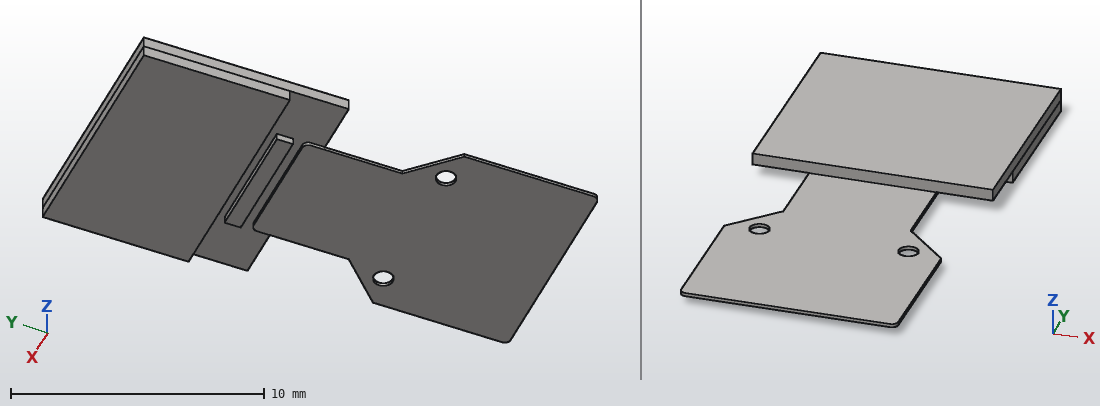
import cadquery as cq

total_length = 19.85
glass_width = 9.96

cover_length = 8.83
cover_thickness = 0.5
substrate_length = 6.3
substrate_thickness = 0.5
cover_bottom = substrate_thickness

chip_width = 5.15
chip_length = 0.7
chip_thickness = 0.3
chip_gap = 0.5

flex_thickness = 0.149
flex_bottom = cover_bottom - flex_thickness
corner_radius = 0.25
strip_width = 5.28
strip_length = 11.9
tail_width = 9.0
shoulder_width = 5.08
shoulder_end = 7.78
shoulder_start = shoulder_end - (tail_width - shoulder_width) / 2
overlay_start = 5.45
stiffener_end = 6.0
stiffener_half_width = shoulder_width / 2 + shoulder_end - stiffener_end

hole_diameter = 0.81
hole_spacing = 6.17

pad_count = 14
pad_width = tail_width / (2 * pad_count + 1)
pad_pitch = 2 * pad_width
pad_length = 1.79
pad_thickness = 0.02
pad_bottom = cover_bottom - pad_thickness


def block(width, length, thickness, front, bottom):
    """Plain block centred on X = 0, starting at the given front Y and bottom Z."""
    body = cq.Workplane("XY").box(width, length, thickness, centered=(True, False, False))
    return body.translate((0, front, bottom))


def flex_layer(points):
    """Full-thickness area of the flex cable with the given outline."""
    return cq.Workplane("XY").workplane(offset=flex_bottom).polyline(points).close().extrude(flex_thickness)


def make_cover_glass():
    return block(glass_width, cover_length, cover_thickness, total_length - cover_length, cover_bottom)


def make_substrate_glass():
    return block(glass_width, substrate_length, substrate_thickness, total_length - substrate_length, 0)


def make_driver_chip():
    front = total_length - substrate_length - chip_gap - chip_length
    return block(chip_width, chip_length, chip_thickness, front, cover_bottom - chip_thickness)


def make_strip():
    """Long conductor strip that runs the whole length of the flex cable."""
    strip = block(strip_width, strip_length, flex_thickness, 0, flex_bottom)
    return strip.edges("|Z").fillet(corner_radius)


def make_overlay():
    """Band across the tail, with sloped shoulders towards the glass."""
    side = tail_width / 2
    top = shoulder_width / 2
    overlay = flex_layer([
        (-side, overlay_start),
        (side, overlay_start),
        (side, shoulder_start),
        (top, shoulder_end),
        (-top, shoulder_end),
        (-side, shoulder_start),
    ])
    return overlay.faces("<Y").edges("|Z").fillet(corner_radius)


def make_stiffener():
    """Wide end of the tail, cut off by the same slope as the shoulders."""
    side = tail_width / 2
    stiffener = flex_layer([
        (-side, 0),
        (side, 0),
        (side, shoulder_start),
        (stiffener_half_width, stiffener_end),
        (-stiffener_half_width, stiffener_end),
        (-side, shoulder_start),
    ])
    return stiffener.faces("<Y").edges("|Z").fillet(corner_radius)


def make_contact_zone():
    """Thin full-width band at the tip of the tail, in which the pads lie."""
    return make_stiffener().intersect(block(tail_width, pad_length, pad_thickness, 0, pad_bottom))


def make_pad(index):
    """Contact pad, flush with the top of the tail; index 0 is at the -X end."""
    pad_x = (index - (pad_count - 1) / 2) * pad_pitch
    return block(pad_width, pad_length, pad_thickness, 0, pad_bottom).translate((pad_x, 0, 0))


def make_hole(side):
    """Cutter for the alignment hole on the given side, -1 or 1."""
    hole_x = side * hole_spacing / 2
    return cq.Workplane("XY").center(hole_x, stiffener_end).circle(hole_diameter / 2).extrude(cover_bottom)


def make_flex_cable():
    """One solid; its areas stay outlined on the flat top because their faces are not merged."""
    flex = make_strip()
    for area in (make_overlay(), make_stiffener(), make_contact_zone()):
        flex = flex.union(area, clean=False)
    for index in range(pad_count):
        flex = flex.union(make_pad(index), clean=False)
    for side in (-1, 1):
        flex = flex.cut(make_hole(side), clean=False)
    return flex


cover_glass = make_cover_glass()
substrate_glass = make_substrate_glass()
driver_chip = make_driver_chip()
flex_cable = make_flex_cable()

result = cq.Compound.makeCompound([
    cover_glass.val(),
    substrate_glass.val(),
    driver_chip.val(),
    *flex_cable.vals(),
])